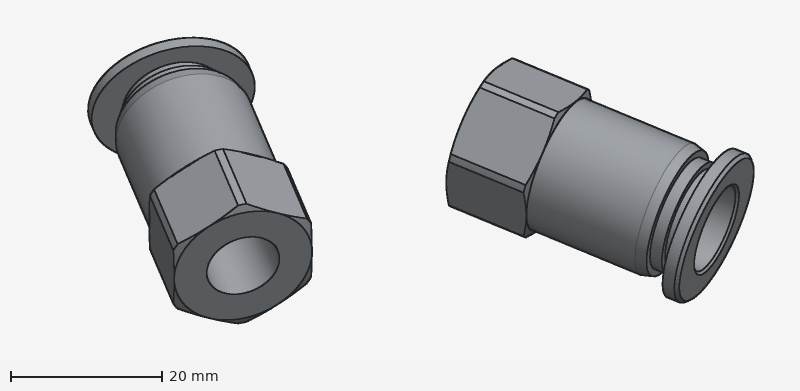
import cadquery as cq
import math

length = 35.4
flange_end = 2.25
neck_end = 4.05
collar_end = 5.8
body_taper_end = 7.35
hex_start = 23.47

flange_width = 22.5
flange_height = 19.5
flange_chamfer = 0.5

neck_diameter = 14.15
collar_diameter = 16.0
taper_diameter = 18.0
body_diameter = 18.85

hex_flats = 19.0
hex_corners = 21.3
hex_end_chamfer = 0.4

tube_diameter = 12.25
tube_depth = hex_start
tube_chamfer = 0.35
through_diameter = 10.02


def make_flange():
    """Oval plate with its front rim chamfered."""
    return (
        cq.Workplane("YZ")
        .ellipse(flange_width / 2, flange_height / 2)
        .extrude(flange_end)
        .faces("<X")
        .chamfer(flange_chamfer)
    )


def make_barrel():
    """Neck, collar and tapered-front body as one revolved profile."""
    return (
        cq.Workplane("XY")
        .moveTo(flange_end, 0)
        .lineTo(flange_end, neck_diameter / 2)
        .lineTo(neck_end, neck_diameter / 2)
        .lineTo(neck_end, collar_diameter / 2)
        .lineTo(collar_end, collar_diameter / 2)
        .lineTo(collar_end, taper_diameter / 2)
        .lineTo(body_taper_end, body_diameter / 2)
        .lineTo(hex_start, body_diameter / 2)
        .lineTo(hex_start, 0)
        .close()
        .revolve(360, (0, 0, 0), (1, 0, 0))
    )


def make_hex():
    """Hexagon with corners up and down, turned to a rounded corner diameter with coned ends."""
    sharp_corners = hex_flats / math.cos(math.radians(30))
    hex_length = length - hex_start
    prism = (
        cq.Workplane("YZ", origin=(hex_start, 0, 0))
        .transformed(rotate=(0, 0, 90))
        .polygon(6, sharp_corners)
        .extrude(hex_length)
    )
    end_drop = (hex_corners - hex_flats) / 2
    turned_blank = (
        cq.Workplane("YZ", origin=(hex_start, 0, 0))
        .circle(hex_corners / 2)
        .extrude(hex_length)
        .faces("<X or >X")
        .chamfer(hex_end_chamfer, end_drop)
    )
    return prism.intersect(turned_blank)


def make_bore():
    """Through hole with a wider tube seat and a lead-in chamfer at the flange."""
    mouth_radius = tube_diameter / 2 + tube_chamfer
    return (
        cq.Workplane("XY")
        .lineTo(0, mouth_radius)
        .lineTo(tube_chamfer, tube_diameter / 2)
        .lineTo(tube_depth, tube_diameter / 2)
        .lineTo(tube_depth, through_diameter / 2)
        .lineTo(length, through_diameter / 2)
        .lineTo(length, 0)
        .close()
        .revolve(360, (0, 0, 0), (1, 0, 0))
    )


result = make_flange().union(make_barrel()).union(make_hex()).cut(make_bore())